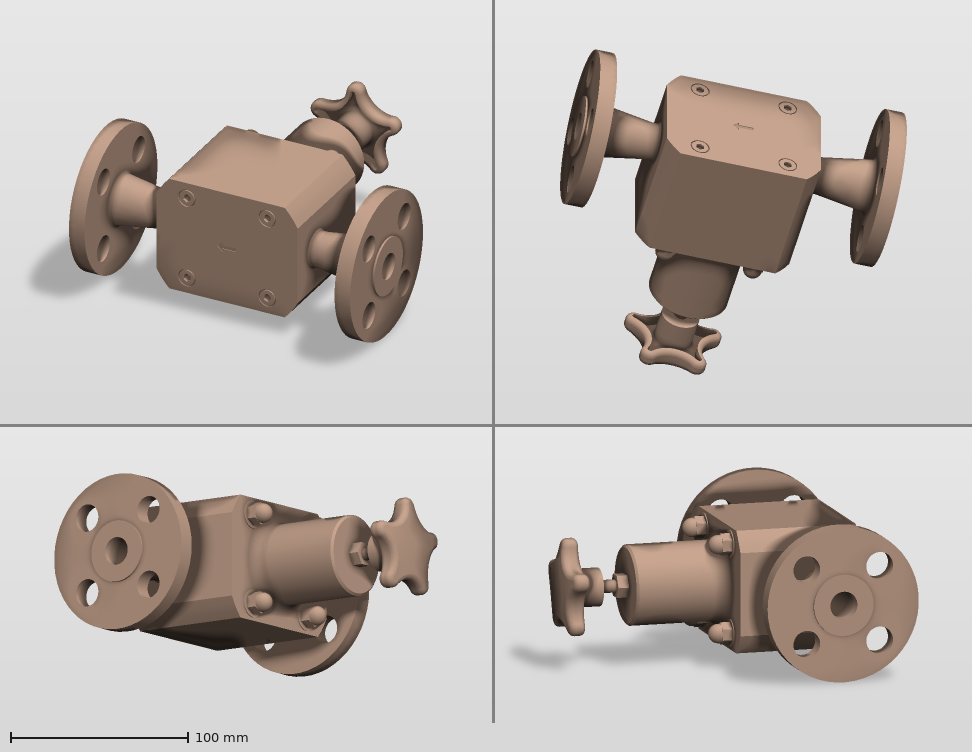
import cadquery as cq
import math


arc_middle_share = 1 - math.sqrt(0.5)
hex_corner_ratio = 1 / math.cos(math.pi / 6)

total_depth = 186.5

body_half_x = 45.0
body_half_z = 35.3
body_front_y = -23.1
body_back_y = 47.2
body_corner_diameter = 101.8
stud_offset = 25.5

half_length = 90.6
raised_face_height = 1.3
raised_face_diameter = 35.0
flange_diameter = 89.0
flange_thickness = 9.9
flange_hole_diameter = 15.7
flange_hole_count = 4
bolt_circle_diameter = 60.6
bore_diameter = 15.9
pipe_diameter = 21.3
hub_end_diameter = 29.8
cone_small_x = 49.8
hub_fillet = 2.2
weld_size = 1.1
pipe_embed = 1.9
flange_back_x = half_length - raised_face_height - flange_thickness
cone_large_x = flange_back_x - hub_fillet

bonnet_diameter = 46.0
bonnet_top_y = 101.3
bonnet_chamfer = 1.3
bonnet_base_fillet = 6.3
gland_corner_diameter = 14.5
gland_top_y = 107.6
stem_diameter = 7.5

wheel_hub_diameter = 22.0
wheel_hub_y = 117.1
wheel_bottom_y = 130.0
wheel_top_y = total_depth - flange_diameter / 2
arm_count = 5
arm_center_radius = 24.0
arm_tip_radius = 5.0
hollow_bottom_radius = 18.3
crown_radius = 121.2
wheel_fillet = 3.2
rim_wall = 3.4
pocket_depth = 6.3
pocket_hub_fillet = 2.8

washer_diameter = 15.9
washer_thickness = 0.5
nut_flats = 11.0
nut_height = 5.6
dome_diameter = 11.0
dome_shoulder = 1.3
counterbore_diameter = 11.0
counterbore_depth = 1.0
head_diameter = 9.5
socket_flats = 4.5
socket_depth = 2.2
socket_point = 1.3

arrow_tip_x = -6.2
arrow_barb_x = -3.0
arrow_tail_x = 5.6
arrow_half_width = 3.0
arrow_shaft_half_width = 1.1
arrow_depth = 0.4


def disc(diameter, y, height):
    """Cylinder along +Y that starts at y."""
    return cq.Workplane("XZ", origin=(0, y, 0)).circle(diameter / 2).extrude(-height)


def hexagon(corner_diameter, y, height, turn=0):
    """Hexagonal prism along +Y that starts at y."""
    prism = cq.Workplane("XZ", origin=(0, y, 0)).polygon(6, corner_diameter).extrude(-height)
    return prism.rotate((0, 0, 0), (0, 1, 0), turn)


def at_studs(shape):
    """Copies of a shape at the four stud places."""
    copies = cq.Workplane("XY")
    for x in (-stud_offset, stud_offset):
        for z in (-stud_offset, stud_offset):
            copies = copies.add(shape.translate((x, 0, z)))
    return copies.combine()


def make_body():
    """Block whose long corners are rounded by one cylinder about Y."""
    depth = body_back_y - body_front_y
    block = cq.Workplane("XZ", origin=(0, body_front_y, 0))
    block = block.rect(2 * body_half_x, 2 * body_half_z).extrude(-depth)
    return block.intersect(disc(body_corner_diameter, body_front_y, depth))


def make_pipe_end():
    """Welding-neck flange on the +X side."""
    flange_face_x = half_length - raised_face_height
    pipe_radius = pipe_diameter / 2
    hub_radius = hub_end_diameter / 2
    pipe_start_x = body_half_x - pipe_embed
    bend = hub_fillet * arc_middle_share
    neck = (
        cq.Workplane("XY")
        .moveTo(pipe_start_x, 0)
        .lineTo(pipe_start_x, pipe_radius + weld_size)
        .lineTo(body_half_x, pipe_radius + weld_size)
        .lineTo(body_half_x + weld_size, pipe_radius)
        .lineTo(cone_small_x, pipe_radius)
        .lineTo(cone_large_x, hub_radius)
        .threePointArc(
            (flange_back_x - bend, hub_radius + bend),
            (flange_back_x, hub_radius + hub_fillet),
        )
        .lineTo(flange_back_x, flange_diameter / 2)
        .lineTo(flange_face_x, flange_diameter / 2)
        .lineTo(flange_face_x, raised_face_diameter / 2)
        .lineTo(half_length, raised_face_diameter / 2)
        .lineTo(half_length, 0)
        .close()
        .revolve(360, (0, 0, 0), (1, 0, 0))
    )
    bolt_holes = (
        cq.Workplane("YZ", origin=(flange_back_x, 0, 0))
        .polarArray(bolt_circle_diameter / 2, 180 / flange_hole_count, 360, flange_hole_count)
        .circle(flange_hole_diameter / 2)
        .extrude(flange_thickness)
    )
    bore = cq.Workplane("YZ", origin=(body_half_x, 0, 0)).circle(bore_diameter / 2).extrude(half_length)
    return neck.cut(bolt_holes).cut(bore)


def make_bonnet():
    """Round bonnet with a flared foot, carrying the gland nut and the stem."""
    radius = bonnet_diameter / 2
    flare = bonnet_base_fillet
    bend = flare * arc_middle_share
    profile = (
        cq.Workplane("XY")
        .moveTo(0, body_back_y)
        .lineTo(radius + flare, body_back_y)
        .threePointArc((radius + bend, body_back_y + bend), (radius, body_back_y + flare))
        .lineTo(radius, bonnet_top_y - bonnet_chamfer)
        .lineTo(radius - bonnet_chamfer, bonnet_top_y)
        .lineTo(0, bonnet_top_y)
        .close()
    )
    gland = hexagon(gland_corner_diameter, bonnet_top_y, gland_top_y - bonnet_top_y)
    stem = disc(stem_diameter, gland_top_y, wheel_hub_y - gland_top_y)
    return profile.revolve(360, (0, 0, 0), (0, 1, 0)).union(gland).union(stem)


def star_prism(inset, height):
    """Star of round arm tips joined by tangent hollows, drawn in by an inset, from the wheel bottom.

    The hollow's center distance makes its circle touch both neighboring tip circles.
    """
    half_step = math.pi / arm_count
    tip_radius = arm_tip_radius - inset
    gap = hollow_bottom_radius - arm_tip_radius
    hollow_center_radius = (arm_center_radius**2 - gap**2) / (
        2 * (arm_center_radius * math.cos(half_step) - gap)
    )
    touch_angle = math.atan2(
        hollow_center_radius * math.sin(half_step),
        hollow_center_radius * math.cos(half_step) - arm_center_radius,
    )
    touch_along = arm_center_radius + tip_radius * math.cos(touch_angle)
    touch_side = tip_radius * math.sin(touch_angle)

    def point(along, angle, side=0.0):
        """Point a distance along an arm direction, moved sideways from it."""
        return (
            along * math.cos(angle) - side * math.sin(angle),
            along * math.sin(angle) + side * math.cos(angle),
        )

    first_arm = math.pi / 2
    outline = cq.Workplane("XZ", origin=(0, wheel_bottom_y, 0))
    outline = outline.moveTo(*point(touch_along, first_arm, -touch_side))
    for i in range(arm_count):
        arm = first_arm + 2 * i * half_step
        outline = outline.threePointArc(
            point(arm_center_radius + tip_radius, arm),
            point(touch_along, arm, touch_side),
        )
        outline = outline.threePointArc(
            point(hollow_bottom_radius - inset, arm + half_step),
            point(touch_along, arm + 2 * half_step, -touch_side),
        )
    return outline.close().extrude(-height)


def make_handwheel():
    """Star wheel with a domed top, a hollow underside and a hub."""
    star = star_prism(0, wheel_top_y - wheel_bottom_y)
    pocket = star_prism(rim_wall, pocket_depth)
    crown = cq.Workplane("XY").sphere(crown_radius).translate((0, wheel_top_y - crown_radius, 0))
    rim_edges = cq.selectors.InverseSelector(cq.selectors.ParallelDirSelector(cq.Vector(0, 1, 0)))
    wheel = star.intersect(crown).edges(rim_edges).fillet(wheel_fillet)

    hub_radius = wheel_hub_diameter / 2
    pocket_floor_y = wheel_bottom_y + pocket_depth
    bend = pocket_hub_fillet * arc_middle_share
    hub = (
        cq.Workplane("XY")
        .moveTo(0, wheel_hub_y)
        .lineTo(hub_radius, wheel_hub_y)
        .lineTo(hub_radius, pocket_floor_y - pocket_hub_fillet)
        .threePointArc(
            (hub_radius + bend, pocket_floor_y - bend),
            (hub_radius + pocket_hub_fillet, pocket_floor_y),
        )
        .lineTo(0, pocket_floor_y)
        .close()
        .revolve(360, (0, 0, 0), (0, 1, 0))
    )
    return wheel.cut(pocket).union(hub)


def make_cap_nut():
    """Washer, hexagon and round cap on the back face."""
    nut_y = body_back_y + washer_thickness
    shoulder_y = nut_y + nut_height
    dome_y = shoulder_y + dome_shoulder
    radius = dome_diameter / 2
    ball = cq.Workplane("XY").sphere(radius).translate((0, dome_y, 0))
    dome = disc(dome_diameter, shoulder_y, dome_shoulder).union(ball)
    nut = disc(washer_diameter, body_back_y, washer_thickness)
    nut = nut.union(hexagon(nut_flats * hex_corner_ratio, nut_y, nut_height, 30))
    return nut.union(dome)


def make_screw_recess():
    """Ring gap around the screw head, with the hexagon socket."""
    ring = disc(counterbore_diameter, body_front_y, counterbore_depth)
    ring = ring.cut(disc(head_diameter, body_front_y, counterbore_depth))
    socket = hexagon(socket_flats * hex_corner_ratio, body_front_y, socket_depth, 30)
    drill_point = cq.Workplane(
        cq.Solid.makeCone(
            socket_flats / 2, 0, socket_point,
            cq.Vector(0, body_front_y + socket_depth, 0), cq.Vector(0, 1, 0),
        )
    )
    return ring.union(socket).union(drill_point)


def make_arrow():
    """Arrow pointing along -X in the front face."""
    upper_side = [
        (arrow_barb_x, arrow_half_width),
        (arrow_barb_x, arrow_shaft_half_width),
        (arrow_tail_x, arrow_shaft_half_width),
    ]
    lower_side = [(x, -z) for x, z in reversed(upper_side)]
    outline = [(arrow_tip_x, 0)] + upper_side + lower_side
    arrow = cq.Workplane("XZ", origin=(0, body_front_y, 0)).polyline(outline).close()
    return arrow.extrude(-arrow_depth)


pipe_end = make_pipe_end()
result = make_body().union(pipe_end).union(pipe_end.mirror("YZ"))
result = result.union(make_bonnet()).union(make_handwheel())
result = result.union(at_studs(make_cap_nut())).cut(at_studs(make_screw_recess()))
result = result.cut(make_arrow())